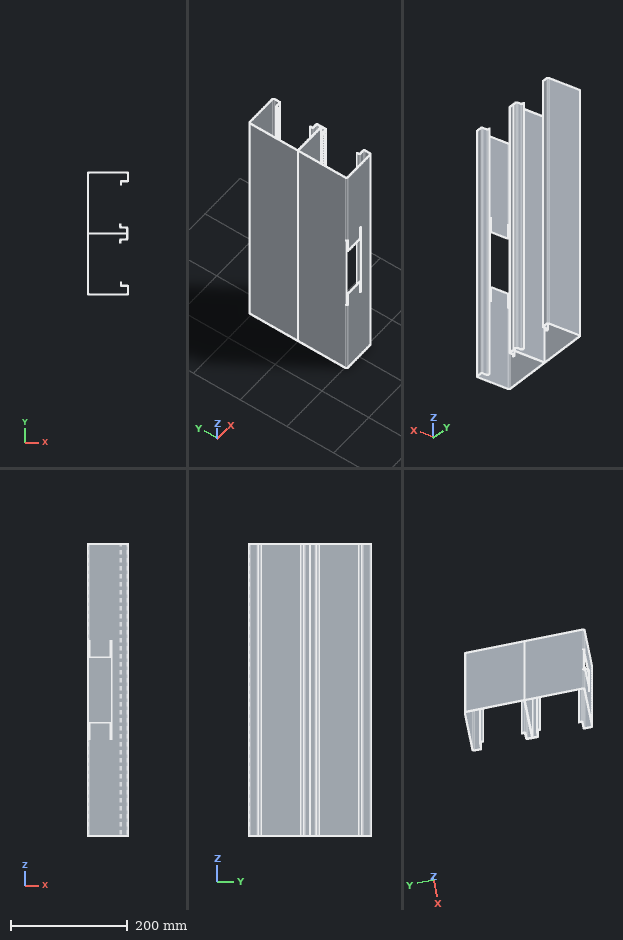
import cadquery as cq
import math

depth = 70.0
width = 210.0
length = 500.0

trunking_sheet = 1.0
corner_radius = 3.0
lip_bend_radius = 2.0

lip_width = 16.0
return_depth = 13.5
hook_width = 6.5

window_start = trunking_sheet
window_width = 40.0
window_height = 112.0
slit_width = 2.5
slit_height = 169.0

partition_sheet = 1.5
partition_bend_radius = 2.5
flange_x = 68.5
flange_width = 22.0
flange_return_depth = 13.0


def bent_sheet(half_path, sheet):
    """Sheet swept along a path of right-angled bends, mirrored in the XZ plane.

    The half path runs along the middle of the sheet from its free edge at +Y. Each entry
    is x, y and the outer radius of the bend there, 0 at the free edge.
    """
    mirrored_half = [(x, -y, radius) for x, y, radius in reversed(half_path)]
    full_path = half_path + mirrored_half
    points = [cq.Vector(x, y) for x, y, _ in full_path]
    outer_radii = [radius for _, _, radius in full_path]

    centre_line = cq.Workplane("XY").moveTo(points[0].x, points[0].y)
    for index in range(1, len(points) - 1):
        corner = points[index]
        radius = outer_radii[index] - sheet / 2
        arriving = (corner - points[index - 1]).normalized()
        leaving = (points[index + 1] - corner).normalized()
        arc_start = corner - arriving * radius
        arc_middle = corner + (leaving - arriving) * radius * (1 - math.sqrt(0.5))
        arc_end = corner + leaving * radius
        centre_line = centre_line.lineTo(arc_start.x, arc_start.y)
        centre_line = centre_line.threePointArc((arc_middle.x, arc_middle.y), (arc_end.x, arc_end.y))
    centre_line = centre_line.lineTo(points[-1].x, points[-1].y)

    free_edge = cq.Plane(origin=points[0], xDir=(0, 0, 1), normal=points[1] - points[0])
    return cq.Workplane(free_edge).rect(length, sheet).sweep(centre_line)


def side_cutter(x_start, x_size, z_size):
    """Block through the -Y side, centred on the middle of the length."""
    cut_depth = 2 * corner_radius
    block = cq.Workplane("XY").box(x_size, cut_depth, z_size, centered=(False, True, True))
    return block.translate((x_start, -width / 2, 0))


def make_trunking():
    half_sheet = trunking_sheet / 2
    back_x = half_sheet
    lip_x = depth - half_sheet
    hook_x = depth - return_depth + half_sheet
    side_y = width / 2 - half_sheet
    return_y = width / 2 - lip_width + half_sheet
    hook_end_y = return_y + half_sheet - hook_width
    shell = bent_sheet(
        [
            (hook_x, hook_end_y, 0),
            (hook_x, return_y, lip_bend_radius),
            (lip_x, return_y, lip_bend_radius),
            (lip_x, side_y, corner_radius),
            (back_x, side_y, corner_radius),
        ],
        trunking_sheet,
    )

    last_slit_start = window_start + window_width - slit_width
    shell = shell.cut(side_cutter(window_start, window_width, window_height))
    for slit_start in (window_start, last_slit_start):
        shell = shell.cut(side_cutter(slit_start, slit_width, slit_height))
    return shell


def make_partition():
    half_sheet = partition_sheet / 2
    flange_middle_x = flange_x - half_sheet
    hook_x = flange_x - flange_return_depth + half_sheet
    return_y = flange_width / 2 - half_sheet
    hook_end_y = return_y - half_sheet + hook_width
    flange = bent_sheet(
        [
            (hook_x, hook_end_y, 0),
            (hook_x, return_y, partition_bend_radius),
            (flange_middle_x, return_y, partition_bend_radius),
        ],
        partition_sheet,
    )

    web_depth = flange_middle_x - trunking_sheet
    web = cq.Workplane("XY").box(web_depth, partition_sheet, length, centered=(False, True, True))
    return flange.union(web.translate((trunking_sheet, 0, 0)))


trunking = make_trunking()
partition = make_partition()

result = cq.Compound.makeCompound([trunking.val(), partition.val()])